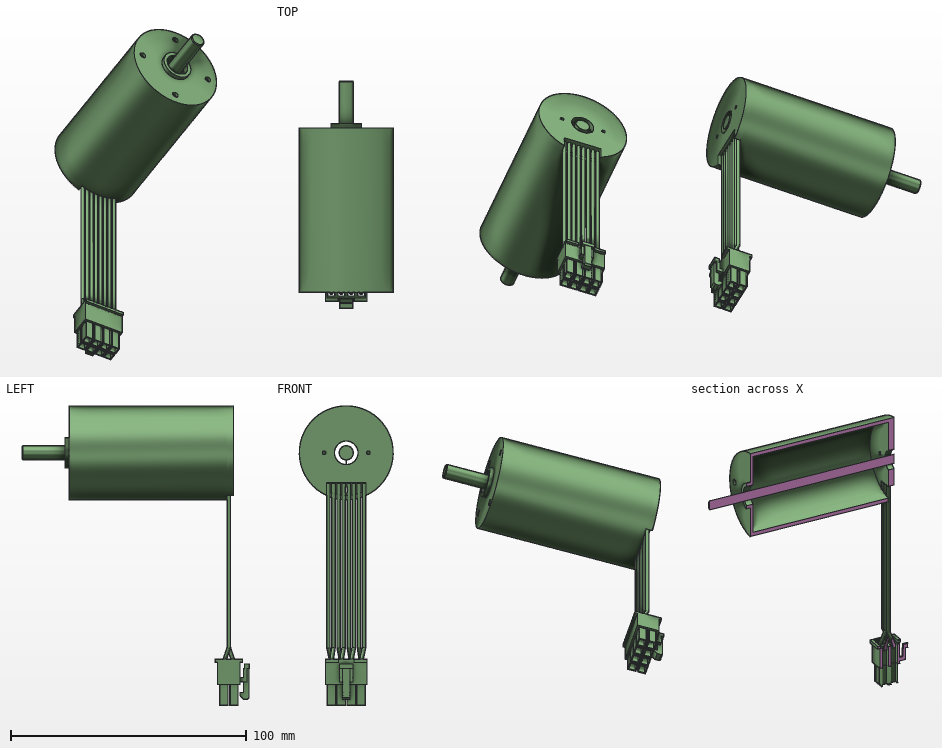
import cadquery as cq


motor_radius = 20.0
motor_length = 70.0
rear_cap_thickness = 2.8
front_plate_thickness = 1.4
can_cavity_radius = 18.1
boss_radius = 6.5
boss_length = 1.8
bore_radius = 5.0
shaft_radius = 3.0
shaft_overhang = 20.0
shaft_tip_chamfer = 0.4
strut_width = 0.3
mounting_circle_radius = 15.8
mounting_hole_radius = 1.3
mounting_hole_count = 4
rear_hole_radius = 0.8
rear_hole_offset = 9.4

wire_diameter = 1.5
wire_pitch = 2.2
wire_count = 8
wire_row_width = (wire_count - 1) * wire_pitch + wire_diameter

outlet_half_width = wire_row_width / 2
outlet_top_z = -12.6
outlet_corner_radius = 0.4

wire_start_z = outlet_top_z - outlet_corner_radius
wire_y = rear_cap_thickness - wire_diameter / 2
wire_bend_z = -82.8

connector_top_z = -87.7
connector_bottom_z = -98.5
prong_bottom_z = motor_radius - 127.4
connector_half_width = 8.9
connector_half_depth = 4.8
connector_front_y = wire_y - connector_half_depth
flange_overhang = 1.0
flange_thickness = 1.4
flange_gap_width = 6.6
column_count = 4
contact_pitch = 4.2
prong_width = 3.7
prong_chamfer = 0.5
socket_width = 2.8
mouth_depth = 1.3
mouth_half_width = 8.3
mouth_half_depth = 4.3
wire_straight_z = connector_top_z - mouth_depth
wire_end_z = wire_straight_z - 1.5

latch_outer_y = -6.8
latch_bar_outer_y = -6.6
latch_inner_y = -4.2
latch_head_inner_y = -4.6
latch_plate_outer_y = -5.6
latch_head_top_z = -89.7
latch_head_bottom_z = -91.7
latch_arm_top_z = -95.4
latch_arm_bottom_z = -97.3
latch_wide_width = 5.6
latch_bar_width = 3.2
hook_ledge_z = -101.8
hook_tip_y = -2.7
hook_tip_bottom_z = -103.2
latch_bottom_z = -104.9
latch_bottom_chamfer = 0.8


def block(x_range, y_range, z_range):
    """Box that spans the given ranges."""
    lengths = [high - low for low, high in (x_range, y_range, z_range)]
    corner = (x_range[0], y_range[0], z_range[0])
    return cq.Workplane("XY").box(*lengths, centered=False).translate(corner)


def cylinder_along_y(radius, y_range, x=0, z=0):
    """Cylinder parallel to the motor axis."""
    start = cq.Vector(x, y_range[0], z)
    return cq.Workplane(cq.Solid.makeCylinder(radius, y_range[1] - y_range[0], start, cq.Vector(0, 1, 0)))


def make_motor():
    """Hollow motor can with its end plates, and the shaft held inside it."""
    plate_inner_y = motor_length - front_plate_thickness
    boss_end_y = motor_length + boss_length
    shaft_end_y = motor_length + shaft_overhang

    shell_profile = [
        (0, bore_radius),
        (0, motor_radius),
        (rear_cap_thickness, motor_radius),
        (plate_inner_y, motor_radius),
        (motor_length, motor_radius),
        (motor_length, boss_radius),
        (boss_end_y, boss_radius),
        (boss_end_y, bore_radius),
        (plate_inner_y, bore_radius),
        (plate_inner_y, can_cavity_radius),
        (rear_cap_thickness, can_cavity_radius),
        (rear_cap_thickness, bore_radius),
    ]
    shell = cq.Workplane("YZ").polyline(shell_profile).close().revolve(360, (0, 0), (1, 0), clean=False)

    outlet = block(
        (-outlet_half_width, outlet_half_width), (0, rear_cap_thickness), (-motor_radius, outlet_top_z)
    )
    outlet = outlet.edges("|Y and >Z").fillet(outlet_corner_radius)
    shell = shell.cut(outlet, clean=False)

    for x in (-rear_hole_offset, rear_hole_offset):
        shell = shell.cut(cylinder_along_y(rear_hole_radius, (0, rear_cap_thickness), x), clean=False)

    mounting_hole = cylinder_along_y(
        mounting_hole_radius, (plate_inner_y, motor_length), z=-mounting_circle_radius
    )
    for index in range(mounting_hole_count):
        angle = 360 / mounting_hole_count * index
        shell = shell.cut(mounting_hole.rotate((0, 0, 0), (0, 1, 0), angle), clean=False)

    shaft = cylinder_along_y(shaft_radius, (0, shaft_end_y)).faces(">Y").chamfer(shaft_tip_chamfer)

    strut = block((-strut_width / 2, strut_width / 2), (plate_inner_y, motor_length), (-boss_radius, 0))
    return shell.union(strut, clean=False).union(shaft, clean=False).solids()


def contact_x(column):
    """X position of a connector column."""
    return (column - (column_count - 1) / 2) * contact_pitch


def contact_y(row):
    """Y position of a connector row: 0 is the front row and 1 the back row."""
    return wire_y + (row - 0.5) * contact_pitch


def contact_columns(row, width, top_z):
    """Square columns at every contact of a row, from the prong tips up to top_z."""
    return (
        cq.Workplane("XY", origin=(0, 0, prong_bottom_z))
        .pushPoints([(contact_x(column), contact_y(row)) for column in range(column_count)])
        .rect(width, width)
        .extrude(top_z - prong_bottom_z)
    )


def make_wire(index):
    """Wire that drops from the motor, then leans to its own connector socket."""
    start_x = (index - (wire_count - 1) / 2) * wire_pitch
    column = index // 2
    row = 1 - index % 2
    socket_x = contact_x(column)
    socket_y = contact_y(row)
    path = cq.Workplane("XY").polyline(
        [
            (start_x, wire_y, wire_start_z),
            (start_x, wire_y, wire_bend_z),
            (socket_x, socket_y, wire_straight_z),
            (socket_x, socket_y, wire_end_z),
        ]
    )
    section = cq.Workplane("XY", origin=(start_x, wire_y, wire_start_z)).circle(wire_diameter / 2)
    return section.sweep(path, transition="right")


def make_latch():
    """Latch on the front of the connector: wide head, plate and arm, and a narrow hooked bar."""
    wide_range = (-latch_wide_width / 2, latch_wide_width / 2)
    head = block(wide_range, (latch_outer_y, latch_head_inner_y), (latch_head_bottom_z, latch_head_top_z))
    plate = block(wide_range, (latch_plate_outer_y, latch_inner_y), (latch_arm_bottom_z, latch_head_bottom_z))
    arm = block(wide_range, (latch_plate_outer_y, connector_front_y), (latch_arm_bottom_z, latch_arm_top_z))

    bar_profile = [
        (latch_bar_outer_y, latch_head_bottom_z),
        (latch_inner_y, latch_head_bottom_z),
        (latch_inner_y, hook_ledge_z),
        (hook_tip_y, hook_ledge_z),
        (hook_tip_y, hook_tip_bottom_z),
        (latch_inner_y, latch_bottom_z),
        (latch_bar_outer_y + latch_bottom_chamfer, latch_bottom_z),
        (latch_bar_outer_y, latch_bottom_z + latch_bottom_chamfer),
    ]
    bar = cq.Workplane("YZ").polyline(bar_profile).close().extrude(latch_bar_width / 2, both=True)
    return head.union(plate).union(arm).union(bar)


def make_connector():
    """Connector housing with its flange, hollow prongs and latch."""
    body = block(
        (-connector_half_width, connector_half_width),
        (connector_front_y, wire_y + connector_half_depth),
        (connector_bottom_z, connector_top_z),
    )

    flange_z = (connector_top_z - flange_thickness, connector_top_z)
    flange = block(
        (-connector_half_width, connector_half_width),
        (connector_front_y - flange_overhang, wire_y + connector_half_depth + flange_overhang),
        flange_z,
    )
    flange_gap = block(
        (-flange_gap_width / 2, flange_gap_width / 2),
        (connector_front_y - flange_overhang, connector_front_y),
        flange_z,
    )
    connector = body.union(flange.cut(flange_gap))

    front_prongs = contact_columns(0, prong_width, connector_bottom_z)
    front_prongs = front_prongs.edges("|Z and >Y").chamfer(prong_chamfer)
    back_prongs = contact_columns(1, prong_width, connector_bottom_z)

    mouth = block(
        (-mouth_half_width, mouth_half_width),
        (wire_y - mouth_half_depth, wire_y + mouth_half_depth),
        (connector_top_z - mouth_depth, connector_top_z),
    )
    connector = connector.union(front_prongs).union(back_prongs).cut(mouth)
    for row in (0, 1):
        connector = connector.cut(contact_columns(row, socket_width, connector_top_z))
    return connector.union(make_latch()).solids()


motor = make_motor()
wires = [make_wire(index) for index in range(wire_count)]
connector = make_connector()

result = cq.Compound.makeCompound([motor.val(), *[wire.val() for wire in wires], connector.val()])